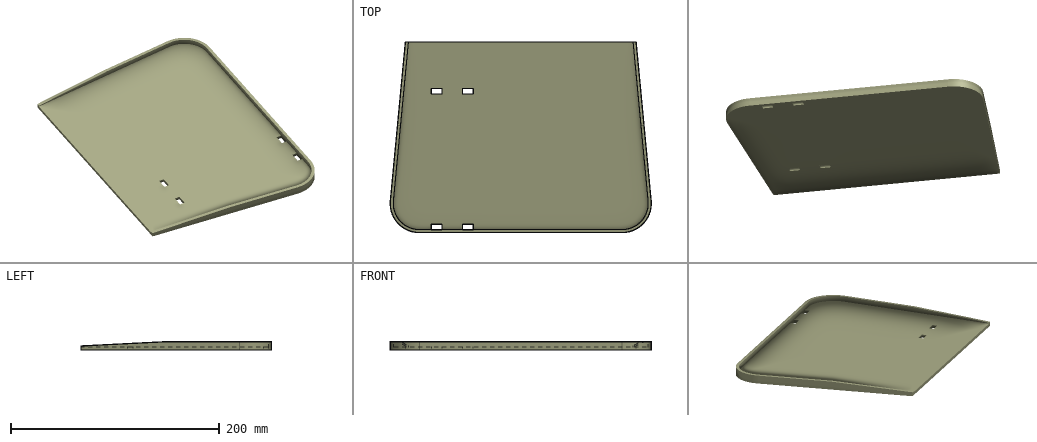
import cadquery as cq
import math

width = 250.8
depth = 183.0
height = 8.0
back_width = 221.7
corner_radius = 28.0

floor_thickness = 3.0
rim_width = 3.0
back_height = 4.0
taper_length = 80.0

slot_length = 10.0
slot_width = 5.0
slot_columns = (-80.7, -50.7)
slot_row_pitch = 130.1
front_slot_y = rim_width + slot_width / 2
slot_rows = (front_slot_y, front_slot_y + slot_row_pitch)

corner_x = width / 2 - corner_radius
corner_y = corner_radius
reach_x = back_width / 2 - corner_x
reach_y = depth - corner_y
side_angle = math.atan2(reach_y, reach_x) - math.acos(corner_radius / math.hypot(reach_x, reach_y))


def tray_prism(inset, prism_height):
    """Extrude the tray outline, inset at the front and sides but not at the back."""
    radius = corner_radius - inset
    tangent_x = corner_x + radius * math.cos(side_angle)
    tangent_y = corner_y + radius * math.sin(side_angle)
    back_x = back_width / 2 - inset / math.cos(side_angle)
    middle_angle = (side_angle - math.pi / 2) / 2
    middle_x = corner_x + radius * math.cos(middle_angle)
    middle_y = corner_y + radius * math.sin(middle_angle)
    return (
        cq.Workplane("XY")
        .moveTo(-corner_x, inset)
        .lineTo(corner_x, inset)
        .threePointArc((middle_x, middle_y), (tangent_x, tangent_y))
        .lineTo(back_x, depth)
        .lineTo(-back_x, depth)
        .lineTo(-tangent_x, tangent_y)
        .threePointArc((-middle_x, middle_y), (-corner_x, inset))
        .close()
        .extrude(prism_height)
    )


body = tray_prism(0, height)
recess = tray_prism(rim_width, height).translate((0, 0, floor_thickness))
body = body.cut(recess)

taper = (
    cq.Workplane("YZ")
    .moveTo(depth - taper_length, height)
    .lineTo(depth, back_height)
    .lineTo(depth, height)
    .close()
    .extrude(width / 2, both=True)
)
body = body.cut(taper)

slot_centers = [(x, y) for x in slot_columns for y in slot_rows]
slots = cq.Workplane("XY").pushPoints(slot_centers).rect(slot_length, slot_width).extrude(height)

result = body.cut(slots)